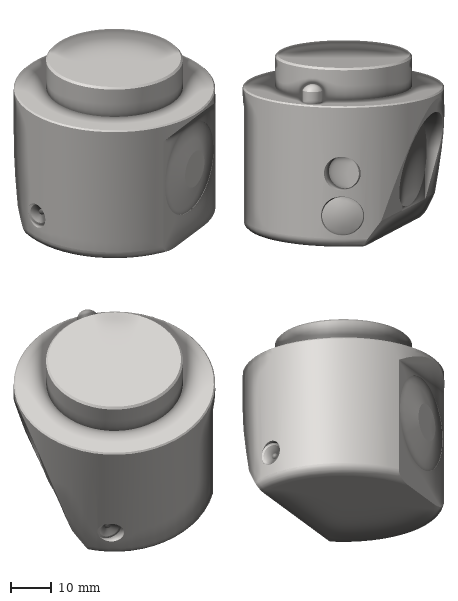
import cadquery as cq
import math

BODY_DIAMETER = 50
BODY_RADIUS = BODY_DIAMETER / 2
BODY_HEIGHT = 36
TOP_CHAMFER = 0.35
BASE_FILLET = 2.5

BOSS_DIAMETER = 34
BOSS_HEIGHT = 8
BOSS_CHAMFER = 0.5

PIN_DIAMETER = 5
PIN_Y = 20.85
PIN_SHOULDER_HEIGHT = 3
PIN_DOME_HEIGHT = 1.5

SLOPE_ANGLE = 15.5
SLOPE_TOP_Z = 34.7
BREAK_Z = 6.6
BREAK_X = -BODY_RADIUS + (SLOPE_TOP_Z - BREAK_Z) * math.tan(math.radians(SLOPE_ANGLE))
FOOT_X = -13.05

FLAT_X = 21.5
FLAT_TOP_Z = 31.5

SLIDE_DIAMETER = 24
SLIDE_RADIUS = SLIDE_DIAMETER / 2
SLIDE_Z = 19
SLIDE_FACE_X = -17.45
SLIDE_RIM_X = 21.4
SLIDE_TIP_X = 23.05
SLIDE_TIP_DIAMETER = 9.5

RELIEF_FLOOR_X = -16.95
RELIEF_SIDE_Y = 4
RELIEF_CORNER_Y = 4.7
RELIEF_CORNER_Z = 6.9
RELIEF_CORNER_HEIGHT = 0.9

HOLE_X = -8.75
SCREW_Z = 8.2

FRONT_HOLE_DIAMETER = 6.2
FRONT_FLOOR_Y = -22.05
FRONT_CONE_DIAMETER = 5
FRONT_CONE_DEPTH = 1.15
NIB_DIAMETER = 1.5
NIB_HEIGHT = 0.3

BACK_FLOOR_Y = 20

FLAT_HOLE_DIAMETER = 8.5
FLAT_STUD_DIAMETER = 8
FLAT_STUD_END_Y = 21.95

DOME_HOLE_DIAMETER = 10
DOME_STUD_DIAMETER = 9.5
DOME_SPHERE_RADIUS = 13.75
DOME_CREST_RADIUS = 25.4


def cylinder_along_y(diameter, x, y_start, y_end, z):
    """Cylinder parallel to Y from y_start to y_end."""
    start = cq.Workplane("XZ", origin=(x, y_start, z))
    return start.circle(diameter / 2).extrude(y_start - y_end)


def domed_cylinder(diameter, straight_height, dome_height):
    """Cylinder on Z = 0 with a spherical cap on top; only the cap if straight_height is 0."""
    radius = diameter / 2
    top = straight_height + dome_height
    sphere_radius = (radius**2 + dome_height**2) / (2 * dome_height)
    mid_radius = radius / 2
    mid_height = top - sphere_radius + math.sqrt(sphere_radius**2 - mid_radius**2)
    half_section = cq.Workplane("XZ").lineTo(radius, 0)
    if straight_height > 0:
        half_section = half_section.lineTo(radius, straight_height)
    half_section = half_section.threePointArc((mid_radius, mid_height), (0, top)).close()
    return half_section.revolve(360, (0, 0), (0, 1))


def facing(solid, direction, y, z):
    """Lay an upright solid along Y: direction +1 points it to +Y, -1 to -Y."""
    tilted = solid.rotate((0, 0, 0), (1, 0, 0), -90 * direction)
    return tilted.translate((HOLE_X, y, z))


def cut_along_y(points):
    """Prism across the whole housing from an outline in X and Z."""
    return cq.Workplane("XZ").polyline(points).close().extrude(BODY_RADIUS, both=True)


def make_blank():
    body = cq.Workplane("XY").circle(BODY_RADIUS).extrude(BODY_HEIGHT)
    body = body.faces("<Z").edges().fillet(BASE_FILLET)
    body = body.faces(">Z").edges().chamfer(TOP_CHAMFER)
    top = cq.Workplane("XY", origin=(0, 0, BODY_HEIGHT))
    boss = top.circle(BOSS_DIAMETER / 2).extrude(BOSS_HEIGHT)
    boss = boss.faces(">Z").edges().chamfer(BOSS_CHAMFER)
    pin = domed_cylinder(PIN_DIAMETER, PIN_SHOULDER_HEIGHT, PIN_DOME_HEIGHT)
    return body.union(boss).union(pin.translate((0, PIN_Y, BODY_HEIGHT)))


def left_slopes():
    outside_x = -BODY_DIAMETER
    return cut_along_y(
        [
            (-BODY_RADIUS, SLOPE_TOP_Z),
            (BREAK_X, BREAK_Z),
            (FOOT_X, 0),
            (outside_x, 0),
            (outside_x, SLOPE_TOP_Z),
        ]
    )


def right_flat():
    outside_x = BODY_DIAMETER
    run_out = BODY_HEIGHT - FLAT_TOP_Z
    return cut_along_y(
        [
            (FLAT_X, 0),
            (FLAT_X, FLAT_TOP_Z),
            (FLAT_X + run_out, BODY_HEIGHT),
            (outside_x, BODY_HEIGHT),
            (outside_x, 0),
        ]
    )


def slide_bore():
    start = cq.Workplane("YZ", origin=(-BODY_RADIUS, 0, SLIDE_Z))
    return start.circle(SLIDE_RADIUS).extrude(BODY_DIAMETER)


def slide_relief():
    floor = cq.Workplane("YZ", origin=(RELIEF_FLOOR_X, 0, 0))
    outline = floor.polyline(
        [
            (-SLIDE_RADIUS, 0),
            (RELIEF_SIDE_Y, 0),
            (RELIEF_SIDE_Y, RELIEF_CORNER_Z),
            (RELIEF_CORNER_Y, RELIEF_CORNER_Z + RELIEF_CORNER_HEIGHT),
            (RELIEF_CORNER_Y, SLIDE_Z),
            (-SLIDE_RADIUS, SLIDE_Z),
        ]
    )
    return outline.close().extrude(-BODY_RADIUS)


def front_hole():
    hole = cylinder_along_y(FRONT_HOLE_DIAMETER, HOLE_X, -BODY_RADIUS, FRONT_FLOOR_Y, SCREW_Z)
    start = cq.Workplane("XY").circle(FRONT_CONE_DIAMETER / 2)
    cone = start.workplane(offset=FRONT_CONE_DEPTH).circle(NIB_DIAMETER / 2).loft(ruled=True)
    nib_base_y = FRONT_FLOOR_Y + FRONT_CONE_DEPTH
    nib = facing(domed_cylinder(NIB_DIAMETER, 0, NIB_HEIGHT), -1, nib_base_y, SCREW_Z)
    return hole.union(facing(cone, 1, FRONT_FLOOR_Y, SCREW_Z)).cut(nib)


def back_hole(diameter, z):
    return cylinder_along_y(diameter, HOLE_X, BACK_FLOOR_Y, BODY_RADIUS, z)


def flat_stud():
    return cylinder_along_y(FLAT_STUD_DIAMETER, HOLE_X, BACK_FLOOR_Y, FLAT_STUD_END_Y, SLIDE_Z)


def dome_stud():
    stud = cylinder_along_y(DOME_STUD_DIAMETER, HOLE_X, BACK_FLOOR_Y, DOME_CREST_RADIUS, SCREW_Z)
    center_radius = DOME_CREST_RADIUS - DOME_SPHERE_RADIUS
    center_x = center_radius * HOLE_X / BODY_RADIUS
    center_y = math.sqrt(center_radius**2 - center_x**2)
    sphere = cq.Workplane("XY").sphere(DOME_SPHERE_RADIUS).translate((center_x, center_y, SCREW_Z))
    return stud.intersect(sphere)


def make_housing():
    housing = make_blank()
    for cutter in (left_slopes(), right_flat(), slide_bore(), slide_relief()):
        housing = housing.cut(cutter)
    housing = housing.cut(front_hole())
    housing = housing.cut(back_hole(FLAT_HOLE_DIAMETER, SLIDE_Z)).union(flat_stud())
    return housing.cut(back_hole(DOME_HOLE_DIAMETER, SCREW_Z)).union(dome_stud())


def make_slide():
    half_section = cq.Workplane("XY").polyline(
        [
            (SLIDE_FACE_X, 0),
            (SLIDE_FACE_X, SLIDE_RADIUS),
            (SLIDE_RIM_X, SLIDE_RADIUS),
            (SLIDE_TIP_X, SLIDE_TIP_DIAMETER / 2),
            (SLIDE_TIP_X, 0),
        ]
    )
    slide = half_section.close().revolve(360, (0, 0), (1, 0))
    return slide.translate((0, 0, SLIDE_Z))


housing = make_housing()
slide = make_slide()

result = cq.Compound.makeCompound([housing.solids().val(), slide.val()])